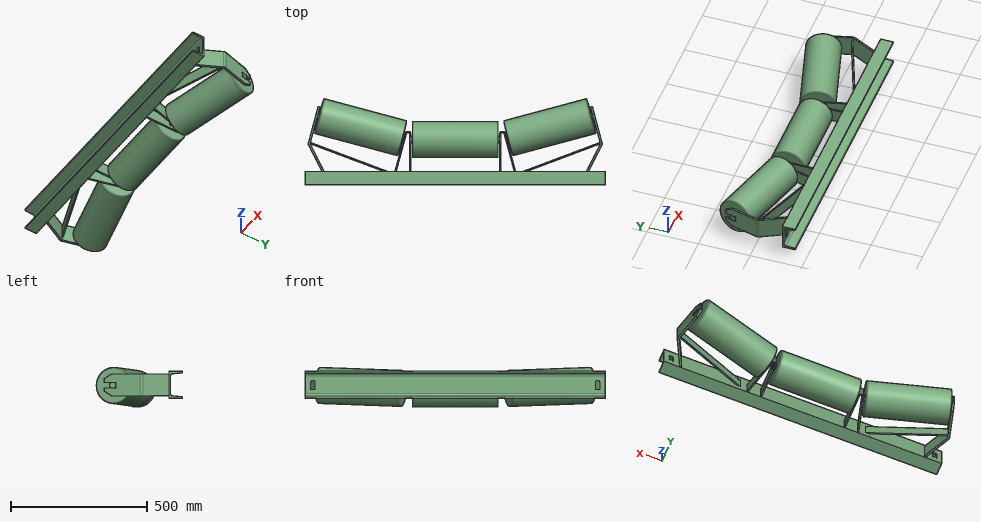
import cadquery as cq
import math

beam_length = 1100.0
beam_height = 100.0
beam_depth = 50.0
web_thickness = 7.0
flange_mid_thickness = 9.0
flange_slope = 0.08
root_radius = 8.0
toe_radius = 2.0

slot_width = 16.0
slot_height = 33.0
slot_end_offset = 29.0

roller_length = 315.0
roller_diameter = 133.0
rim_radius = 3.0
shaft_diameter = 24.0
shaft_flat_width = 20.0
middle_axis_y = 166.0
middle_axis_z = -15.0
side_axis_x = 346.0
side_axis_y = 211.0
side_axis_z = -8.0
trough_angle = 15.0
forward_tilt = 2.0

outer_height = 80.0
outer_thickness = 8.0
bar_height = 51.0
bar_thickness = 5.0
plate_gap = 5.0
inner_top_y = 196.0
inner_bend_radius = 8.0
elbow_y = 150.0
elbow_radius = 13.0
arm_tip_y = 286.0
outer_foot_x = 483.0
brace_head_y = 154.0
brace_foot_x = 248.0
arm_taper_y = 258.0
arm_tip_height = 46.0

trough_sin = math.sin(math.radians(trough_angle))
trough_cos = math.cos(math.radians(trough_angle))
trough_tan = trough_sin / trough_cos

plate_start = roller_length / 2 + plate_gap
inner_plate_end = plate_start + bar_thickness
outer_plate_end = plate_start + outer_thickness

foot_y = beam_depth - web_thickness / 2


def bent_strip(points, thickness, height):
    """Upright strip of constant thickness along a plan-view path, with mitred corners."""
    directions = []
    for (x0, y0), (x1, y1) in zip(points, points[1:]):
        length = math.hypot(x1 - x0, y1 - y0)
        directions.append(((x1 - x0) / length, (y1 - y0) / length))
    before = directions[:1] + directions
    after = directions + directions[-1:]
    left_side = []
    right_side = []
    for (x, y), (ux, uy), (vx, vy) in zip(points, before, after):
        mitre = thickness / 2 / (1 + ux * vx + uy * vy)
        dx = -(uy + vy) * mitre
        dy = (ux + vx) * mitre
        left_side.append((x + dx, y + dy))
        right_side.append((x - dx, y - dy))
    outline = left_side + right_side[::-1]
    return cq.Workplane("XY", origin=(0, 0, -height / 2)).polyline(outline).close().extrude(height)


def mirrored(body):
    return body.mirror("YZ")


def place_middle(body):
    return body.translate((0, middle_axis_y, middle_axis_z))


def place_left(body):
    """Move a body lying along X to the left roller axis; its -X end becomes the outer, raised end."""
    tilted = body.rotate((0, 0, 0), (0, 1, 0), forward_tilt)
    turned = tilted.rotate((0, 0, 0), (0, 0, 1), -trough_angle)
    return turned.translate((-side_axis_x, side_axis_y, side_axis_z))


def make_beam():
    half_height = beam_height / 2
    web_front = beam_depth - web_thickness
    slope_rise = flange_slope * web_front / 2
    toe_z = half_height - flange_mid_thickness + slope_rise
    root_z = half_height - flange_mid_thickness - slope_rise
    outline = [
        (0, half_height),
        (beam_depth, half_height),
        (beam_depth, -half_height),
        (0, -half_height),
        (0, -toe_z),
        (web_front, -root_z),
        (web_front, root_z),
        (0, toe_z),
    ]
    end_plane = cq.Workplane("YZ", origin=(-beam_length / 2, 0, 0))
    beam = end_plane.polyline(outline).close().extrude(beam_length)
    for y, z, radius in ((web_front, root_z, root_radius), (0, toe_z, toe_radius)):
        for side in (-1, 1):
            corner = cq.selectors.NearestToPointSelector((0, y, side * z))
            beam = beam.edges(corner).fillet(radius)
    return beam


def make_mounting_slot():
    """Cutter for one web slot: round top, square bottom."""
    spring_z = slot_height / 2 - slot_width / 2
    half_width = slot_width / 2
    return (
        cq.Workplane("XZ", origin=(slot_end_offset - beam_length / 2, 0, 0))
        .moveTo(-half_width, -slot_height / 2)
        .lineTo(half_width, -slot_height / 2)
        .lineTo(half_width, spring_z)
        .threePointArc((0, slot_height / 2), (-half_width, spring_z))
        .close()
        .extrude(-beam_depth)
    )


def make_inner_bracket():
    """Left inverted-U bracket between the middle roller and the left roller."""
    leg_offset = plate_start + bar_thickness / 2
    straight_x = -leg_offset
    base_x = -side_axis_x + leg_offset * trough_cos
    base_y = side_axis_y - leg_offset * trough_sin
    top_y = inner_top_y - bar_thickness / 2
    path = [
        (straight_x, foot_y),
        (straight_x, top_y),
        (base_x + (top_y - base_y) * trough_tan, top_y),
        (base_x + (foot_y - base_y) * trough_tan, foot_y),
    ]
    bracket = bent_strip(path, bar_thickness, bar_height).translate((0, 0, middle_axis_z))
    top_bends = bracket.faces(">Y").edges("|Z")
    return top_bends.fillet(inner_bend_radius)


def make_outer_bracket():
    """Left outer bracket: arm with an open shaft slot, leg and diagonal brace."""
    arm_offset = plate_start + outer_thickness / 2
    base_x = -side_axis_x - arm_offset * trough_cos
    base_y = side_axis_y + arm_offset * trough_sin
    elbow, brace_head, tip = [
        (base_x + (y - base_y) * trough_tan, y) for y in (elbow_y, brace_head_y, arm_tip_y)
    ]
    bracket = bent_strip([tip, elbow, (-outer_foot_x, foot_y)], outer_thickness, outer_height)

    elbow_corner = cq.selectors.NearestToPointSelector((elbow[0] - outer_thickness, elbow_y, 0))
    bracket = bracket.edges("|Z").edges(elbow_corner).fillet(elbow_radius)

    side_outline = [
        (0, outer_height / 2),
        (arm_taper_y, outer_height / 2),
        (arm_tip_y, arm_tip_height / 2),
        (arm_tip_y, -arm_tip_height / 2),
        (arm_taper_y, -outer_height / 2),
        (0, -outer_height / 2),
    ]
    bracket = bracket.intersect(cq.Workplane("YZ").polyline(side_outline).close().extrude(-beam_length))

    brace = bent_strip([brace_head, (-brace_foot_x, foot_y)], bar_thickness, bar_height)
    slot_length = outer_height
    shaft_slot = (
        cq.Workplane("XY")
        .box(2 * outer_thickness, slot_length, shaft_flat_width)
        .translate((-arm_offset, slot_length / 2 - shaft_diameter / 2, 0))
    )
    return bracket.cut(place_left(shaft_slot)).union(brace)


def make_roller():
    """Roller along X with rounded rims and a bore for its shaft."""
    end_plane = cq.Workplane("YZ", origin=(-roller_length / 2, 0, 0))
    drum = end_plane.circle(roller_diameter / 2).extrude(roller_length)
    bore = end_plane.circle(shaft_diameter / 2).extrude(roller_length)
    return drum.edges().fillet(rim_radius).cut(bore)


def make_shaft(left_end, right_end):
    """Round shaft along X with two flats on each end, where it sits in the plates."""
    round_bar = (
        cq.Workplane("YZ", origin=(-left_end, 0, 0))
        .circle(shaft_diameter / 2)
        .extrude(left_end + right_end)
    )
    round_part = cq.Workplane("XY").box(2 * plate_start, shaft_diameter, shaft_diameter)
    flat_part = cq.Workplane("XY").box(beam_length, shaft_diameter, shaft_flat_width)
    return round_bar.intersect(round_part.union(flat_part))


def make_frame(shafts):
    """Beam with all brackets welded on; the shafts leave matching seats in the plates."""
    frame = make_beam()
    for bracket in (make_inner_bracket(), make_outer_bracket()):
        frame = frame.union(bracket).union(mirrored(bracket))
    mounting_slot = make_mounting_slot()
    frame = frame.cut(mounting_slot).cut(mirrored(mounting_slot))
    for shaft in shafts:
        frame = frame.cut(shaft)
    return frame


middle_roller = place_middle(make_roller())
left_roller = place_left(make_roller())
rollers = [middle_roller, left_roller, mirrored(left_roller)]

middle_shaft = place_middle(make_shaft(inner_plate_end, inner_plate_end))
left_shaft = place_left(make_shaft(outer_plate_end, inner_plate_end))
shafts = [middle_shaft, left_shaft, mirrored(left_shaft)]

frame = make_frame(shafts)

bodies = [frame, *rollers, *shafts]
result = cq.Compound.makeCompound([body.solids().val() for body in bodies])